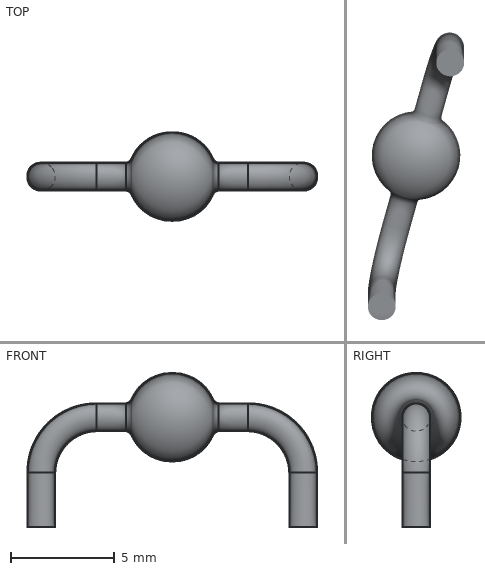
import cadquery as cq
import math

overall_length = 14.05
overall_height = 7.47
ball_radius = 2.15
wire_radius = 0.67
bend_radius = 2.68
fillet_radius = 0.3

leg_x = overall_length / 2 - wire_radius
bend_start_x = leg_x - bend_radius
leg_bottom_z = ball_radius - overall_height
leg_length = -bend_radius - leg_bottom_z

fillet_center_r = wire_radius + fillet_radius
fillet_center_x = math.sqrt((ball_radius + fillet_radius) ** 2 - fillet_center_r ** 2)
bar_start_x = fillet_center_x


def make_ball():
    """Ball with a filleted neck on both sides, revolved about the X axis."""
    contact_ratio = ball_radius / (ball_radius + fillet_radius)
    contact_x = fillet_center_x * contact_ratio
    contact_r = fillet_center_r * contact_ratio

    contact_angle = math.atan2(-fillet_center_r, -fillet_center_x)
    middle_angle = (contact_angle - math.pi / 2) / 2
    middle_x = fillet_center_x + fillet_radius * math.cos(middle_angle)
    middle_r = fillet_center_r + fillet_radius * math.sin(middle_angle)

    profile = (
        cq.Workplane("XY")
        .moveTo(-bar_start_x, 0)
        .lineTo(-bar_start_x, wire_radius)
        .threePointArc((-middle_x, middle_r), (-contact_x, contact_r))
        .threePointArc((0, ball_radius), (contact_x, contact_r))
        .threePointArc((middle_x, middle_r), (bar_start_x, wire_radius))
        .lineTo(bar_start_x, 0)
        .close()
    )
    return profile.revolve(360, (0, 0), (1, 0))


def make_bar(side):
    """Straight wire from the ball neck to the bend; side is -1 or +1 along X."""
    return (
        cq.Workplane("YZ", origin=(side * bar_start_x, 0, 0))
        .circle(wire_radius)
        .extrude(side * (bend_start_x - bar_start_x))
    )


def make_bend(side):
    """Quarter-turn of wire from the bar down to the leg."""
    pivot = (0, -bend_radius)
    axis_end = (side, -bend_radius)
    return (
        cq.Workplane("YZ", origin=(side * bend_start_x, 0, 0))
        .circle(wire_radius)
        .revolve(90, pivot, axis_end)
    )


def make_leg(side):
    """Vertical straight leg below the bend."""
    return (
        cq.Workplane("XY", origin=(side * leg_x, 0, leg_bottom_z))
        .circle(wire_radius)
        .extrude(leg_length)
    )


ball = make_ball()
sides = (-1, 1)
bars = [make_bar(side) for side in sides]
bends = [make_bend(side) for side in sides]
legs = [make_leg(side) for side in sides]

result = cq.Compound.makeCompound([body.val() for body in [ball, *bars, *bends, *legs]])